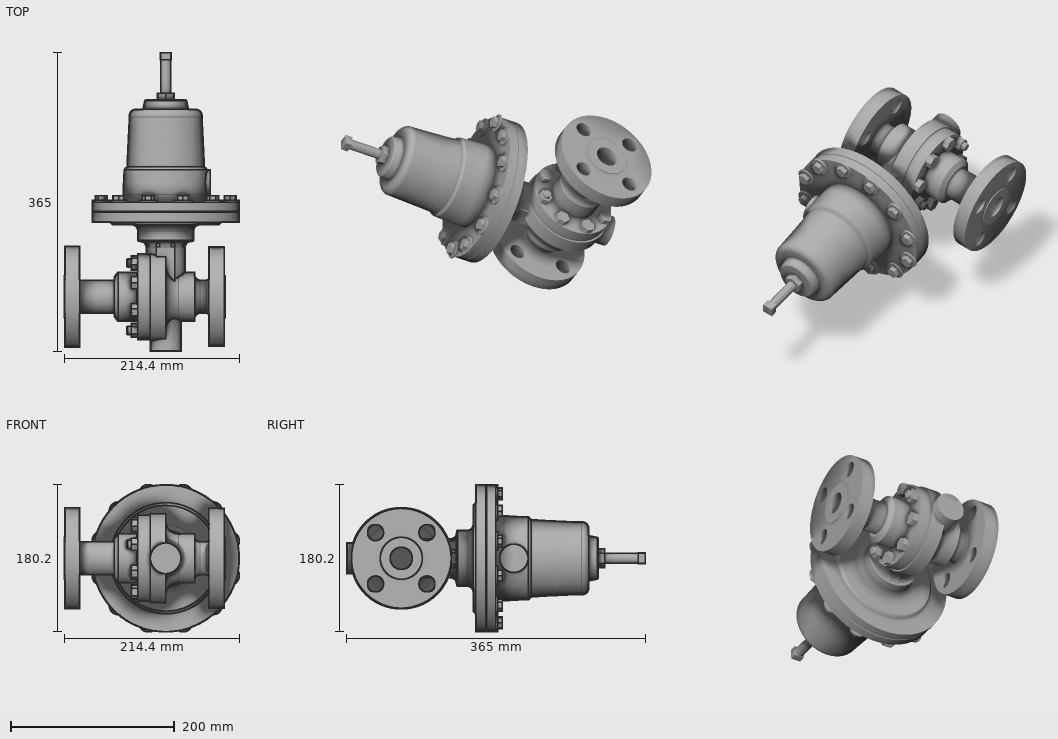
import cadquery as cq
import math


LEFT_FACE_X = -124.3
RIGHT_FACE_X = 72.9
RAISED_FACE_HEIGHT = 1.0
RAISED_FACE_RADIUS = 25.7
LEFT_FLANGE_RADIUS = 62.0
LEFT_FLANGE_BACK_X = -105.4
RIGHT_FLANGE_RADIUS = 61.0
RIGHT_FLANGE_BACK_X = 52.7
PIPE_RADIUS = 20.3
PIPE_BORE_RADIUS = 13.6
FLANGE_HOLE_RADIUS = 9.8
FLANGE_HOLE_OFFSET = 31.4

HUB_END_X = -62.8
HUB_CHAMFER_LENGTH = 4.6
HUB_END_RADIUS = 24.0
HUB_RADIUS = 30.2
HUB_RELIEF_WIDTH = 1.1
HUB_RELIEF_DEPTH = 0.8
COVER_FACE_X = -34.4
COVER_BACK_X = -18.7
COVER_RADIUS = 52.6
BODY_FLANGE_RADIUS = 54.7
BODY_RADIUS = 30.0
BODY_BLEND_RADIUS = 15.6
BODY_END_X = 35.4
OUTLET_BLEND_RADIUS = 6.5
FLANGE_BLEND_RADIUS = 2.9
PLUG_RADIUS = 18.8
PLUG_END_Y = -66.4

COVER_BOLT_COUNT = 8
COVER_BOLT_CIRCLE_RADIUS = 44.6
COVER_HEAD_ACROSS_FLATS = 15.0
COVER_HEAD_HEIGHT = 7.7
COVER_HEAD_TURN = 22.5
STUD_RADIUS = 5.2
STUD_LENGTH = 13.2
STUD_CHAMFER = 1.0
STUD_POSITIONS = (3, 7)

NECK_RADIUS = 23.8
NECK_BLEND_START_Y = 61.0
NECK_BLEND_RADIUS = 6.5
COLLAR_BOTTOM_Y = 68.0
COLLAR_RADIUS = 34.2
COLLAR_CHAMFER = 0.8
COLLAR_BLEND_RADIUS = 7.0
PAD_HEIGHT = 24.0
PAD_HALF_WIDTH = 11.3
PAD_FLARE_TOP_HALF_WIDTH = 7.0
PAD_FLARE_SIDE_DROP = 2.5

CASE_BOTTOM_Y = 87.9
CASE_RING_RADIUS = 68.0
CASE_RING_CHAMFER = 3.3
CASE_RADIUS = 90.0
LOWER_FLANGE_Y = 91.2
JOINT_LOWER_Y = 103.4
JOINT_UPPER_Y = 104.5
JOINT_DEPTH = 1.2
UPPER_FLANGE_Y = 115.7

SKIRT_RADIUS = 52.2
SKIRT_TOP_Y = 125.6
SHOULDER_LOWER_Y = 155.4
SHOULDER_LOWER_RADIUS = 50.8
SHOULDER_UPPER_Y = 158.7
SHOULDER_UPPER_RADIUS = 47.4
CROWN_START_Y = 220.4
CROWN_START_RADIUS = 44.4
CROWN_TOP_Y = 229.2
CROWN_TOP_RADIUS = 37.0
CROWN_MID_Y = 226.7
CROWN_MID_RADIUS = 42.3
CAP_BASE_RADIUS = 27.7
CAP_RADIUS = 25.6
CAP_TOP_Y = 241.0
CAP_CHAMFER = 1.5
VENT_BOSS_Y = 137.7
VENT_BOSS_RADIUS = 17.4
VENT_BOSS_END_X = 54.6

CASE_BOLT_COUNT = 12
CASE_BOLT_CIRCLE_RADIUS = 81.6
WASHER_RADIUS = 11.27
WASHER_HEIGHT = 2.2
CASE_HEAD_ACROSS_FLATS = 12.7
CASE_HEAD_HEIGHT = 5.7
CASE_HEAD_TURN = 15.0

LOCK_NUT_ACROSS_FLATS = 20.4
LOCK_NUT_TOP_Y = 249.0
SCREW_RADIUS = 6.2
SCREW_SQUARE_Y = 289.6
SCREW_SQUARE_SIDE = 13.2
SCREW_TOP_Y = 298.6


def cylinder_x(radius, start_x, end_x, y=0, z=0):
    """Cylinder parallel to X."""
    axis_plane = cq.Workplane("YZ", origin=(start_x, y, z))
    return axis_plane.circle(radius).extrude(end_x - start_x)


def cylinder_y(radius, start_y, end_y, x=0, z=0):
    """Cylinder parallel to Y."""
    return cq.Workplane("XZ", origin=(x, start_y, z)).circle(radius).extrude(start_y - end_y)


def hexagon_points(across_flats, corner_angle):
    """Corners of a hexagon with one corner at the given angle in degrees."""
    corner_radius = across_flats / 2 / math.cos(math.radians(30))
    angles = [math.radians(corner_angle + 60 * i) for i in range(6)]
    return [(corner_radius * math.cos(a), corner_radius * math.sin(a)) for a in angles]


def concave_mid(center, radius, side_x, side_y):
    """Middle point of a quarter arc, on the given diagonal side of its centre."""
    reach = radius * math.sqrt(0.5)
    return (center[0] + side_x * reach, center[1] + side_y * reach)


def make_pipe_line():
    """Turned outline of both pipe flanges, the hub, the cover and the valve body."""
    body_blend_center = (BODY_BLEND_RADIUS, BODY_RADIUS + BODY_BLEND_RADIUS)
    outlet_blend_end_x = BODY_END_X + OUTLET_BLEND_RADIUS
    outlet_blend_center = (outlet_blend_end_x, PIPE_RADIUS + OUTLET_BLEND_RADIUS)
    flange_blend_x = RIGHT_FLANGE_BACK_X - FLANGE_BLEND_RADIUS
    flange_blend_center = (flange_blend_x, PIPE_RADIUS + FLANGE_BLEND_RADIUS)
    relief_x = COVER_FACE_X - HUB_RELIEF_WIDTH
    relief_radius = HUB_RADIUS - HUB_RELIEF_DEPTH
    left_rim_x = LEFT_FACE_X + RAISED_FACE_HEIGHT
    right_rim_x = RIGHT_FACE_X - RAISED_FACE_HEIGHT
    outline = (
        cq.Workplane("XY")
        .moveTo(LEFT_FACE_X, 0)
        .lineTo(LEFT_FACE_X, RAISED_FACE_RADIUS)
        .lineTo(left_rim_x, RAISED_FACE_RADIUS)
        .lineTo(left_rim_x, LEFT_FLANGE_RADIUS)
        .lineTo(LEFT_FLANGE_BACK_X, LEFT_FLANGE_RADIUS)
        .lineTo(LEFT_FLANGE_BACK_X, PIPE_RADIUS)
        .lineTo(HUB_END_X, PIPE_RADIUS)
        .lineTo(HUB_END_X, HUB_END_RADIUS)
        .lineTo(HUB_END_X + HUB_CHAMFER_LENGTH, HUB_RADIUS)
        .lineTo(relief_x, HUB_RADIUS)
        .lineTo(relief_x, relief_radius)
        .lineTo(COVER_FACE_X, relief_radius)
        .lineTo(COVER_FACE_X, COVER_RADIUS)
        .lineTo(COVER_BACK_X, COVER_RADIUS)
        .lineTo(COVER_BACK_X, BODY_FLANGE_RADIUS)
        .lineTo(0, BODY_FLANGE_RADIUS)
        .lineTo(0, body_blend_center[1])
        .threePointArc(
            concave_mid(body_blend_center, BODY_BLEND_RADIUS, -1, -1),
            (body_blend_center[0], BODY_RADIUS),
        )
        .lineTo(BODY_END_X, BODY_RADIUS)
        .lineTo(BODY_END_X, outlet_blend_center[1])
        .threePointArc(
            concave_mid(outlet_blend_center, OUTLET_BLEND_RADIUS, -1, -1),
            (outlet_blend_end_x, PIPE_RADIUS),
        )
        .lineTo(flange_blend_x, PIPE_RADIUS)
        .threePointArc(
            concave_mid(flange_blend_center, FLANGE_BLEND_RADIUS, 1, -1),
            (RIGHT_FLANGE_BACK_X, flange_blend_center[1]),
        )
        .lineTo(RIGHT_FLANGE_BACK_X, RIGHT_FLANGE_RADIUS)
        .lineTo(right_rim_x, RIGHT_FLANGE_RADIUS)
        .lineTo(right_rim_x, RAISED_FACE_RADIUS)
        .lineTo(RIGHT_FACE_X, RAISED_FACE_RADIUS)
        .lineTo(RIGHT_FACE_X, 0)
        .close()
    )
    return outline.revolve(360, (0, 0, 0), (1, 0, 0))


def make_flange_cuts():
    """Four bolt holes in each pipe flange and the blind bores of both pipes."""
    cuts = cylinder_x(PIPE_BORE_RADIUS, LEFT_FACE_X, HUB_END_X)
    cuts = cuts.union(cylinder_x(PIPE_BORE_RADIUS, BODY_END_X, RIGHT_FACE_X))
    for start_x, end_x in (
        (LEFT_FACE_X, LEFT_FLANGE_BACK_X),
        (RIGHT_FLANGE_BACK_X, RIGHT_FACE_X),
    ):
        for side_y in (-1, 1):
            for side_z in (-1, 1):
                y = side_y * FLANGE_HOLE_OFFSET
                z = side_z * FLANGE_HOLE_OFFSET
                cuts = cuts.union(cylinder_x(FLANGE_HOLE_RADIUS, start_x, end_x, y, z))
    return cuts


def make_cover_bolts():
    """Hexagon nuts around the cover, two of them with a protruding stud."""
    bolts = cq.Workplane()
    pitch = 360 / COVER_BOLT_COUNT
    for i in range(COVER_BOLT_COUNT):
        angle = pitch * (i + 0.5)
        y = COVER_BOLT_CIRCLE_RADIUS * math.cos(math.radians(angle))
        z = COVER_BOLT_CIRCLE_RADIUS * math.sin(math.radians(angle))
        corners = hexagon_points(COVER_HEAD_ACROSS_FLATS, angle + COVER_HEAD_TURN)
        plane = cq.Workplane("YZ", origin=(COVER_FACE_X, y, z))
        bolts = bolts.add(plane.polyline(corners).close().extrude(-COVER_HEAD_HEIGHT))
        if i in STUD_POSITIONS:
            stud = cylinder_x(STUD_RADIUS, COVER_FACE_X - STUD_LENGTH, COVER_FACE_X, y, z)
            bolts = bolts.add(stud.faces("<X").chamfer(STUD_CHAMFER))
    return bolts.combine()


def make_diaphragm_and_spring_case():
    """Turned outline from the neck up to the cap of the spring case."""
    neck_blend_center = (NECK_RADIUS + NECK_BLEND_RADIUS, NECK_BLEND_START_Y)
    neck_blend_end = (neck_blend_center[0], NECK_BLEND_START_Y + NECK_BLEND_RADIUS)
    collar_top_y = CASE_BOTTOM_Y - COLLAR_BLEND_RADIUS
    collar_blend_center = (COLLAR_RADIUS + COLLAR_BLEND_RADIUS, collar_top_y)
    outline = (
        cq.Workplane("XY")
        .moveTo(0, 0)
        .lineTo(NECK_RADIUS, 0)
        .lineTo(NECK_RADIUS, NECK_BLEND_START_Y)
        .threePointArc(
            concave_mid(neck_blend_center, NECK_BLEND_RADIUS, -1, 1),
            neck_blend_end,
        )
        .lineTo(neck_blend_end[0], COLLAR_BOTTOM_Y)
        .lineTo(COLLAR_RADIUS - COLLAR_CHAMFER, COLLAR_BOTTOM_Y)
        .lineTo(COLLAR_RADIUS, COLLAR_BOTTOM_Y + COLLAR_CHAMFER)
        .lineTo(COLLAR_RADIUS, collar_top_y)
        .threePointArc(
            concave_mid(collar_blend_center, COLLAR_BLEND_RADIUS, -1, 1),
            (collar_blend_center[0], CASE_BOTTOM_Y),
        )
        .lineTo(CASE_RING_RADIUS - CASE_RING_CHAMFER, CASE_BOTTOM_Y)
        .lineTo(CASE_RING_RADIUS, LOWER_FLANGE_Y)
        .lineTo(CASE_RADIUS, LOWER_FLANGE_Y)
        .lineTo(CASE_RADIUS, JOINT_LOWER_Y)
        .lineTo(CASE_RADIUS - JOINT_DEPTH, JOINT_LOWER_Y)
        .lineTo(CASE_RADIUS - JOINT_DEPTH, JOINT_UPPER_Y)
        .lineTo(CASE_RADIUS, JOINT_UPPER_Y)
        .lineTo(CASE_RADIUS, UPPER_FLANGE_Y)
        .lineTo(SKIRT_RADIUS, UPPER_FLANGE_Y)
        .lineTo(SKIRT_RADIUS, SKIRT_TOP_Y)
        .lineTo(SHOULDER_LOWER_RADIUS, SHOULDER_LOWER_Y)
        .lineTo(SHOULDER_UPPER_RADIUS, SHOULDER_UPPER_Y)
        .lineTo(CROWN_START_RADIUS, CROWN_START_Y)
        .threePointArc((CROWN_MID_RADIUS, CROWN_MID_Y), (CROWN_TOP_RADIUS, CROWN_TOP_Y))
        .lineTo(CAP_BASE_RADIUS, CROWN_TOP_Y)
        .lineTo(CAP_RADIUS, CAP_TOP_Y - CAP_CHAMFER)
        .lineTo(CAP_RADIUS - CAP_CHAMFER, CAP_TOP_Y)
        .lineTo(0, CAP_TOP_Y)
        .close()
    )
    return outline.revolve(360, (0, 0, 0), (0, 1, 0))


def make_neck_pads():
    """Flats on the +Z and -Z sides of the neck, and four flares with sloped sides at the collar."""
    blend_center = (NECK_BLEND_START_Y, PAD_HEIGHT + NECK_BLEND_RADIUS)
    flare_end_y = NECK_BLEND_START_Y + NECK_BLEND_RADIUS
    flare = (
        cq.Workplane("YZ", origin=(-PAD_HALF_WIDTH, 0, 0))
        .moveTo(NECK_BLEND_START_Y, 0)
        .lineTo(NECK_BLEND_START_Y, PAD_HEIGHT)
        .threePointArc(
            concave_mid(blend_center, NECK_BLEND_RADIUS, 1, -1),
            (flare_end_y, blend_center[1]),
        )
        .lineTo(COLLAR_BOTTOM_Y, blend_center[1])
        .lineTo(COLLAR_BOTTOM_Y, 0)
        .close()
        .extrude(2 * PAD_HALF_WIDTH)
    )
    slope_width = PAD_HALF_WIDTH - PAD_FLARE_TOP_HALF_WIDTH
    for side in ("<X", ">X"):
        side_face = flare.faces(side).val()
        curved_edges = [edge for edge in side_face.Edges() if edge.geomType() == "CIRCLE"]
        flare = cq.Workplane(flare.val().chamfer(slope_width, PAD_FLARE_SIDE_DROP, curved_edges))
    pads = cq.Workplane("XY").box(
        2 * PAD_HALF_WIDTH, NECK_BLEND_START_Y, 2 * PAD_HEIGHT, centered=(True, False, True)
    )
    for quarter in range(4):
        pads = pads.union(flare.rotate((0, 0, 0), (0, 1, 0), 90 * quarter))
    return pads


def make_case_bolts():
    """Hexagon heads on round washers around the diaphragm case."""
    bolts = cq.Workplane()
    pitch = 360 / CASE_BOLT_COUNT
    washer_top_y = UPPER_FLANGE_Y + WASHER_HEIGHT
    for i in range(CASE_BOLT_COUNT):
        angle = pitch * (i + 0.5)
        x = CASE_BOLT_CIRCLE_RADIUS * math.cos(math.radians(angle))
        z = CASE_BOLT_CIRCLE_RADIUS * math.sin(math.radians(angle))
        bolts = bolts.add(cylinder_y(WASHER_RADIUS, UPPER_FLANGE_Y, washer_top_y, x, z))
        corners = hexagon_points(CASE_HEAD_ACROSS_FLATS, angle + CASE_HEAD_TURN)
        plane = cq.Workplane("XZ", origin=(x, washer_top_y, z))
        bolts = bolts.add(plane.polyline(corners).close().extrude(-CASE_HEAD_HEIGHT))
    return bolts.combine()


def make_adjusting_screw():
    """Lock nut, round screw and square drive at the top of the spring case."""
    corners = hexagon_points(LOCK_NUT_ACROSS_FLATS, 90)
    nut = (
        cq.Workplane("XZ", origin=(0, CAP_TOP_Y, 0))
        .polyline(corners)
        .close()
        .extrude(CAP_TOP_Y - LOCK_NUT_TOP_Y)
    )
    square = (
        cq.Workplane("XZ", origin=(0, SCREW_SQUARE_Y, 0))
        .rect(SCREW_SQUARE_SIDE, SCREW_SQUARE_SIDE)
        .extrude(SCREW_SQUARE_Y - SCREW_TOP_Y)
    )
    return nut.union(cylinder_y(SCREW_RADIUS, CAP_TOP_Y, SCREW_SQUARE_Y)).union(square)


result = (
    make_pipe_line()
    .union(make_diaphragm_and_spring_case())
    .union(make_neck_pads())
    .union(cylinder_y(PLUG_RADIUS, PLUG_END_Y, 0))
    .union(cylinder_x(VENT_BOSS_RADIUS, 0, VENT_BOSS_END_X, VENT_BOSS_Y))
    .union(make_cover_bolts())
    .union(make_case_bolts())
    .union(make_adjusting_screw())
    .cut(make_flange_cuts())
)